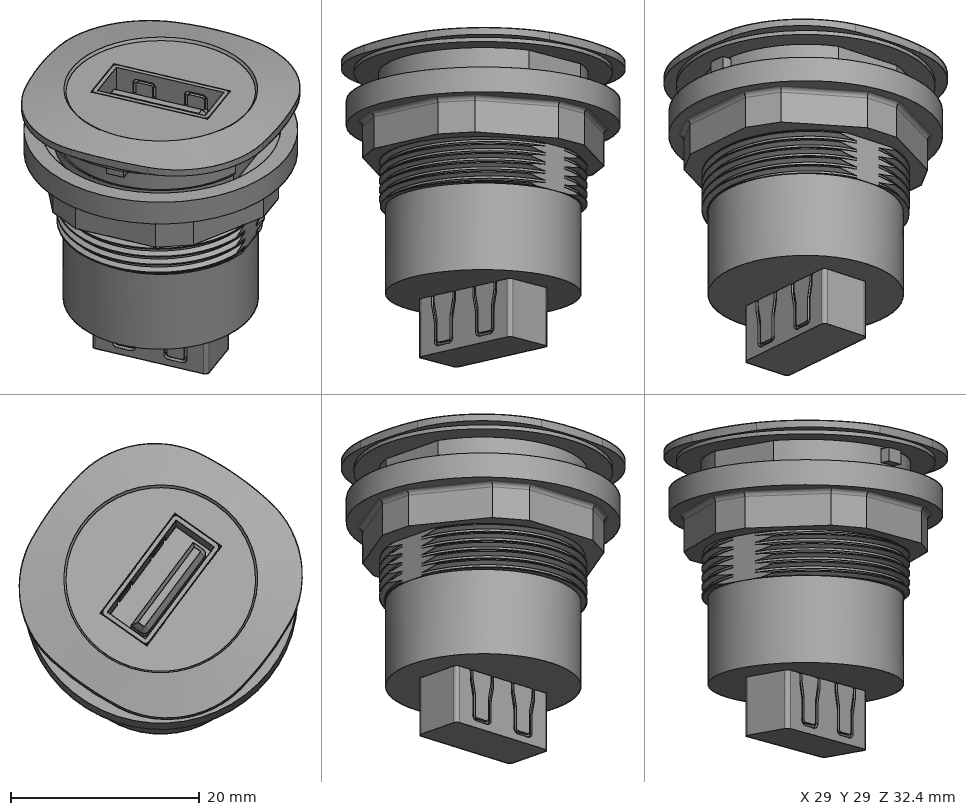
import cadquery as cq
import math


TOP_Z = 0.0
PLATE_BOTTOM_Z = -1.55
LIP_BOTTOM_Z = -2.0
RING_TOP_Z = -4.98
RING_BOTTOM_Z = -7.7
NUT_BOTTOM_Z = -11.65
THREAD_END_Z = -16.6
BODY_BOTTOM_Z = -26.05
SHELL_BOTTOM_Z = -32.4

PLATE_WIDTH = 28.0
SIDE_ARC_RADIUS = 33.0
SIDE_ARC_CHORD = 8.84
RIM_SLOPE = 0.168
LIP_DIAMETER = 27.4

DISH_TOP_DIAMETER = 20.5
DISH_FLOOR_DIAMETER = 20.05
DISH_DEPTH = 0.3

BODY_DIAMETER = 20.7
NECK_DIAMETER = 22.2
COLLAR_DIAMETER = 22.6
COLLAR_TOP_Z = -5.55
FLATS_WIDTH = 20.7
THREAD_DIAMETER = 22.0
THREAD_PITCH = 1.0
THREAD_ROOT_DIAMETER = 20.92
THREAD_START_Z = -17.85
THREAD_CREST_WIDTH = THREAD_PITCH / 8
THREAD_FLANK_ANGLE = 30.0
THREAD_OVERLAP = 0.1

KEY_WIDTH = 2.0
KEY_HEIGHT = 1.5
KEY_TOP_Z = -2.24
KEY_REACH = 12.15

RING_DIAMETER = 29.0
RECESS_DIAMETER = 25.35
RECESS_FLOOR_Z = -6.6
NUT_ACROSS_FLATS = 24.06
NUT_ACROSS_CUT_CORNERS = 25.46
NUT_SIDES = 6
NUT_FILLET = 0.5

SHELL_WIDTH = 13.35
SHELL_THICKNESS = 5.95
SHELL_WALL = 0.48
SHELL_CORNER_RADIUS = 0.45
SHELL_GAP = 0.06
GAP_DEPTH = 0.5
SHELL_TOP_Z = TOP_Z - DISH_DEPTH
SOCKET_FLOOR_Z = -3.1

TONGUE_WIDTH = 11.2
TONGUE_THICKNESS = 1.89
TONGUE_CENTER_Y = -1.13
TONGUE_TOP_Z = -0.87
TONGUE_BEVEL_INSET = 0.53
TONGUE_BEVEL_HEIGHT = 0.9
TONGUE_CORNER_RADIUS = 0.6

SPRING_OFFSET_X = 2.98
SPRING_TIP_HALF_WIDTH = 1.33
SPRING_ROOT_HALF_WIDTH = 1.7
SPRING_SLOT_WIDTH = 0.36
SPRING_SLOT_DEPTH = 0.25
SPRING_TIP_DEPTH = 0.55
SPRING_UPPER_DROP = 0.15
SPRING_TIP_INSET = 0.78
SPRING_TAPER_START = 3.5
SPRING_TAPER_END = 5.25
SPRING_TIP_RADIUS = 0.6
SPRING_LENGTH = BODY_BOTTOM_Z - SHELL_BOTTOM_Z


def disc(diameter, bottom_z, top_z):
    """Upright cylinder on the part axis."""
    return cq.Workplane("XY").workplane(offset=bottom_z).circle(diameter / 2).extrude(top_z - bottom_z)


def block(width, depth, bottom_z, top_z, center_y=0.0):
    """Upright rectangular block centred on X = 0."""
    plane = cq.Workplane("XY").workplane(offset=bottom_z).center(0, center_y)
    return plane.rect(width, depth).extrude(top_z - bottom_z)


def rounded_square():
    """Closed outline of four flat side arcs joined by tangent corner arcs."""
    half = PLATE_WIDTH / 2
    joint_x = SIDE_ARC_CHORD / 2
    angle = math.asin(joint_x / SIDE_ARC_RADIUS)
    joint_y = half - SIDE_ARC_RADIUS * (1 - math.cos(angle))
    corner_radius = (joint_y - joint_x) / (math.cos(angle) - math.sin(angle))
    corner_center = joint_x - corner_radius * math.sin(angle)
    diagonal = corner_center + corner_radius * math.sqrt(0.5)

    def turned(x, y, quarter):
        for _ in range(quarter):
            x, y = y, -x
        return (x, y)

    outline = cq.Workplane("XY").workplane(offset=PLATE_BOTTOM_Z).moveTo(-joint_x, joint_y)
    for quarter in range(4):
        outline = outline.threePointArc(turned(0, half, quarter), turned(joint_x, joint_y, quarter))
        corner_end = turned(joint_y, joint_x, quarter)
        outline = outline.threePointArc(turned(diagonal, diagonal, quarter), corner_end)
    return outline.close()


def front_plate():
    """Rounded-square plate under a shallow cone, with a round lip below and a dish on top."""
    plate = rounded_square().extrude(TOP_Z - PLATE_BOTTOM_Z)
    dish_radius = DISH_TOP_DIAMETER / 2
    cone_radius = PLATE_WIDTH
    cone_edge_z = TOP_Z - RIM_SLOPE * (cone_radius - dish_radius)
    cone_floor_z = cone_edge_z + PLATE_BOTTOM_Z
    cone_profile = [
        (0, TOP_Z),
        (dish_radius, TOP_Z),
        (cone_radius, cone_edge_z),
        (cone_radius, cone_floor_z),
        (0, cone_floor_z),
    ]
    cone = cq.Workplane("XZ").polyline(cone_profile).close().revolve(360, (0, 0), (0, 1))
    dish_profile = [
        (0, TOP_Z),
        (dish_radius, TOP_Z),
        (DISH_FLOOR_DIAMETER / 2, TOP_Z - DISH_DEPTH),
        (0, TOP_Z - DISH_DEPTH),
    ]
    dish = cq.Workplane("XZ").polyline(dish_profile).close().revolve(360, (0, 0), (0, 1))
    lip = disc(LIP_DIAMETER, LIP_BOTTOM_Z, PLATE_BOTTOM_Z)
    return plate.intersect(cone).union(lip).cut(dish)


def thread():
    """Right-hand helical ridge on its root cylinder."""
    root_radius = THREAD_ROOT_DIAMETER / 2
    crest_radius = THREAD_DIAMETER / 2
    crest_half = THREAD_CREST_WIDTH / 2
    flank_slope = math.tan(math.radians(THREAD_FLANK_ANGLE))
    base_radius = root_radius - THREAD_OVERLAP
    base_half = crest_half + (crest_radius - base_radius) * flank_slope
    turns = math.ceil((NUT_BOTTOM_Z - THREAD_START_Z) / THREAD_PITCH) + 1
    path = cq.Wire.makeHelix(THREAD_PITCH, turns * THREAD_PITCH, root_radius)
    tooth = [
        (base_radius, -base_half),
        (crest_radius, -crest_half),
        (crest_radius, crest_half),
        (base_radius, base_half),
    ]
    ridge = cq.Workplane("XZ").polyline(tooth).close().sweep(cq.Workplane(path), isFrenet=True)
    ridge = ridge.translate((0, 0, THREAD_START_Z))
    zone = disc(RING_DIAMETER, THREAD_END_Z, NUT_BOTTOM_Z)
    return disc(THREAD_ROOT_DIAMETER, THREAD_END_Z, NUT_BOTTOM_Z).union(ridge.intersect(zone))


def barrel():
    """Plain lower body, threaded length and collared neck, with flats facing +X and -X."""
    upper = disc(NECK_DIAMETER, NUT_BOTTOM_Z, LIP_BOTTOM_Z).union(thread())
    upper = upper.union(disc(COLLAR_DIAMETER, RING_BOTTOM_Z, COLLAR_TOP_Z))
    upper = upper.intersect(block(FLATS_WIDTH, RING_DIAMETER, THREAD_END_Z, LIP_BOTTOM_Z))
    return upper.union(disc(BODY_DIAMETER, BODY_BOTTOM_Z, THREAD_END_Z))


def key():
    """Small block standing out of the neck toward -Y."""
    return block(KEY_WIDTH, KEY_REACH, KEY_TOP_Z - KEY_HEIGHT, KEY_TOP_Z, -KEY_REACH / 2)


def nut_prism(bottom_z, top_z):
    """Hexagon with its six corners cut flat."""
    plane = cq.Workplane("XY").workplane(offset=bottom_z)
    half_sector = 180 / NUT_SIDES
    to_corner = 1 / math.cos(math.radians(half_sector))
    hexagon = plane.polygon(NUT_SIDES, NUT_ACROSS_FLATS * to_corner).extrude(top_z - bottom_z)
    turned_plane = plane.transformed(rotate=(0, 0, half_sector))
    corner_cut = turned_plane.polygon(NUT_SIDES, NUT_ACROSS_CUT_CORNERS * to_corner).extrude(top_z - bottom_z)
    return hexagon.intersect(corner_cut)


def ring_and_nut():
    """Nut blended into the wide ring, with a round recess around the neck."""
    ring = disc(RING_DIAMETER, RING_BOTTOM_Z, RING_TOP_Z)
    solid = ring.union(nut_prism(NUT_BOTTOM_Z, RING_BOTTOM_Z))
    seam = cq.selectors.BoxSelector(
        (-RING_DIAMETER, -RING_DIAMETER, RING_BOTTOM_Z - NUT_FILLET / 2),
        (RING_DIAMETER, RING_DIAMETER, RING_BOTTOM_Z + NUT_FILLET / 2),
    )
    solid = solid.edges(seam).edges("not %CIRCLE").fillet(NUT_FILLET)
    return solid.cut(disc(RECESS_DIAMETER, RECESS_FLOOR_Z, RING_TOP_Z))


def shell(bottom_z, top_z):
    """Rounded rectangular USB shell, solid."""
    return block(SHELL_WIDTH, SHELL_THICKNESS, bottom_z, top_z).edges("|Z").fillet(SHELL_CORNER_RADIUS)


def gap_around_shell():
    """Thin sharp-cornered clearance around the shell mouth."""
    bottom_z = SHELL_TOP_Z - GAP_DEPTH
    opening = block(SHELL_WIDTH + 2 * SHELL_GAP, SHELL_THICKNESS + 2 * SHELL_GAP, bottom_z, SHELL_TOP_Z)
    return opening.cut(shell(bottom_z, SHELL_TOP_Z))


def socket():
    """Rectangular socket inside the shell walls."""
    inner_width = SHELL_WIDTH - 2 * SHELL_WALL
    inner_thickness = SHELL_THICKNESS - 2 * SHELL_WALL
    return block(inner_width, inner_thickness, SOCKET_FLOOR_Z, SHELL_TOP_Z)


def tongue():
    """Contact tongue with bevelled top and rounded -Y corners."""
    bevel_z = TONGUE_TOP_Z - TONGUE_BEVEL_HEIGHT
    bevel_angle = math.degrees(math.atan2(TONGUE_BEVEL_INSET, TONGUE_BEVEL_HEIGHT))
    blank = block(TONGUE_WIDTH, TONGUE_THICKNESS, SOCKET_FLOOR_Z, bevel_z, TONGUE_CENTER_Y)
    stem = blank.edges("|Z").edges("<Y").fillet(TONGUE_CORNER_RADIUS)
    tip = stem.faces(">Z").wires().toPending().extrude(TONGUE_BEVEL_HEIGHT, combine=False, taper=bevel_angle)
    return stem.union(tip)


def spring_finger(inset):
    """Spring finger rising from its tip near Z = 0, shrunk by inset, sunk from Y = 0 toward +Y."""
    tip = SPRING_TIP_HALF_WIDTH - inset
    root = SPRING_ROOT_HALF_WIDTH - inset
    tip_z = SPRING_TIP_INSET + inset
    taper_start_z = SPRING_TAPER_START + inset
    taper_end_z = SPRING_TAPER_END + inset
    points = [
        (-tip, tip_z),
        (tip, tip_z),
        (tip, taper_start_z),
        (root, taper_end_z),
        (root, SPRING_LENGTH),
        (-root, SPRING_LENGTH),
        (-root, taper_end_z),
        (-tip, taper_start_z),
    ]
    finger = cq.Workplane("XZ").polyline(points).close().extrude(-SPRING_TIP_DEPTH)
    return finger.edges("|Y").edges("<Z").fillet(SPRING_TIP_RADIUS - inset)


def spring_slot():
    """U slot around one finger, its floor ramping deeper toward the tip."""
    ramp_top_z = SPRING_TIP_INSET + SPRING_TIP_RADIUS
    floor_profile = [
        (0, SPRING_TIP_INSET),
        (SPRING_TIP_DEPTH, SPRING_TIP_INSET),
        (SPRING_SLOT_DEPTH, ramp_top_z),
        (SPRING_SLOT_DEPTH, SPRING_LENGTH),
        (0, SPRING_LENGTH),
    ]
    slot_width = 2 * SPRING_ROOT_HALF_WIDTH
    depth_limit = cq.Workplane("YZ").polyline(floor_profile).close().extrude(slot_width / 2, both=True)
    return spring_finger(0).cut(spring_finger(SPRING_SLOT_WIDTH)).intersect(depth_limit)


def spring_slots():
    """U slots in the outer faces of the lower shell end and in the socket walls."""
    outer_y = SHELL_THICKNESS / 2
    inner_y = outer_y - SHELL_WALL
    socket_zone = block(SHELL_WIDTH, RING_DIAMETER, SOCKET_FLOOR_Z, SHELL_TOP_Z)
    lower = spring_slot().translate((0, -outer_y, SHELL_BOTTOM_Z))
    upper = spring_slot().mirror("XY").translate((0, inner_y, SHELL_TOP_Z - SPRING_UPPER_DROP))
    pair = lower.union(upper.intersect(socket_zone))
    pair = pair.union(pair.mirror("XZ"))
    left = pair.translate((-SPRING_OFFSET_X, 0, 0))
    right = pair.translate((SPRING_OFFSET_X, 0, 0))
    return left.union(right)


result = (
    front_plate()
    .union(barrel())
    .union(key())
    .union(ring_and_nut())
    .union(shell(SHELL_BOTTOM_Z, BODY_BOTTOM_Z))
    .cut(gap_around_shell())
    .cut(socket())
    .union(tongue())
    .cut(spring_slots())
)